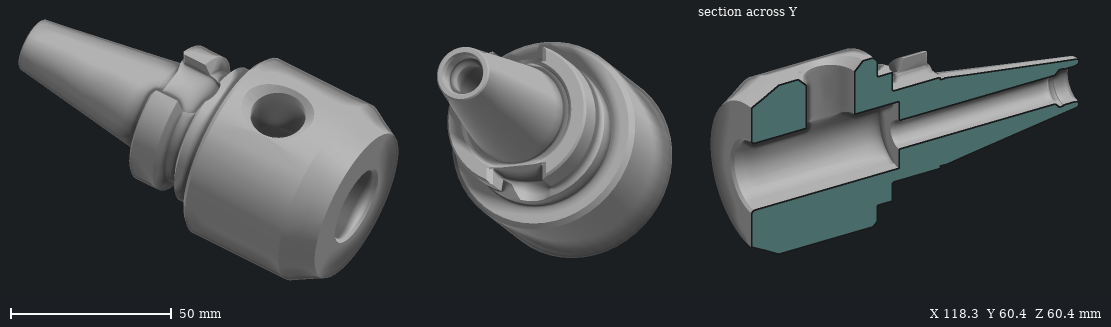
import cadquery as cq

length = 118.3
body_radius = 60.4 / 2
body_start = 72.7
body_chamfer = 1.5
collar_fillet = 0.5
nose_start = 108.3
nose_radius = 24.8

shank_radius = 17.4 / 2
shank_chamfer = 0.5
taper_end = 48.3
taper_slope = 7 / 24 / 2
taper_end_radius = shank_radius + taper_slope * (taper_end - shank_chamfer)
neck_radius = 31.0 / 2

flange_start = 49.1
flange_radius = 46.0 / 2
flange_chamfer = 0.7
recess_depth = 1.0
recess_floor_radius = 17.0
recess_mouth_radius = 18.2
groove_radius = 19.0
groove_left_rim = 58.1
groove_floor_start = 60.0
groove_floor_end = 63.7
groove_right_rim = 65.9

slot_half_width = 8.2
slot_end = 67.3
slot_floor = 16.3
slot_corner_fillet = 0.7
slot_mouth_depth = 1.3
slot_mouth_flare = 1.7

through_radius = 10.0 / 2
counterbore_radius = 12.5 / 2
counterbore_mouth_radius = 6.9
counterbore_mouth_depth = 1.3
counterbore_depth = 5.5
relief_radius = 13.1 / 2
relief_end = 7.1
tool_bore_radius = 23.7 / 2
tool_bore_mouth_radius = 25.4 / 2
tool_bore_start = 65.0

screw_x = 89.6
screw_radius = 17.3 / 2
countersink_radius = 11.7


def revolve_about_x(points):
    """Revolve an (x, radius) outline about the X axis."""
    return cq.Workplane("XY").polyline(points).close().revolve(360, (0, 0, 0), (1, 0, 0))


def is_collar_corner(edge):
    """Tell whether a circular edge is the inner corner of collar and body."""
    tolerance = 0.01
    same_place = abs(edge.Center().x - body_start) < tolerance
    return same_place and abs(edge.radius() - flange_radius) < tolerance


def make_blank():
    recess_floor = flange_start + recess_depth
    blank = revolve_about_x([
        (0, 0),
        (0, shank_radius - shank_chamfer),
        (shank_chamfer, shank_radius),
        (taper_end, taper_end_radius),
        (taper_end + taper_end_radius - neck_radius, neck_radius),
        (recess_floor, neck_radius),
        (recess_floor, recess_floor_radius),
        (flange_start, recess_mouth_radius),
        (flange_start, flange_radius - flange_chamfer),
        (flange_start + flange_chamfer, flange_radius),
        (groove_left_rim, flange_radius),
        (groove_floor_start, groove_radius),
        (groove_floor_end, groove_radius),
        (groove_right_rim, flange_radius),
        (body_start, flange_radius),
        (body_start, body_radius - body_chamfer),
        (body_start + body_chamfer, body_radius),
        (nose_start, body_radius),
        (length, nose_radius),
        (length, 0),
    ])
    collar_edge = blank.edges("%CIRCLE").filter(is_collar_corner)
    return collar_edge.fillet(collar_fillet)


def make_slot_cutter():
    """Upper drive slot: round inner end, rounded floor edge and flared mouth."""
    arc_center = slot_end - slot_half_width
    height = body_radius - slot_floor
    slot = (
        cq.Workplane("XY", origin=(0, 0, slot_floor))
        .moveTo(flange_start, -slot_half_width)
        .lineTo(arc_center, -slot_half_width)
        .threePointArc((slot_end, 0), (arc_center, slot_half_width))
        .lineTo(flange_start, slot_half_width)
        .close()
        .extrude(height)
        .faces("<Z").edges("not <X").fillet(slot_corner_fillet)
    )
    mouth_half_width = slot_half_width + slot_mouth_flare
    mouth = (
        cq.Workplane("XY", origin=(0, 0, slot_floor))
        .polyline([
            (flange_start, -mouth_half_width),
            (flange_start + slot_mouth_depth, -slot_half_width),
            (flange_start + slot_mouth_depth, slot_half_width),
            (flange_start, mouth_half_width),
        ])
        .close()
        .extrude(height)
    )
    return slot.union(mouth)


def make_axial_bore():
    tool_chamfer = tool_bore_mouth_radius - tool_bore_radius
    return revolve_about_x([
        (0, 0),
        (0, counterbore_mouth_radius),
        (counterbore_mouth_depth, counterbore_radius),
        (counterbore_depth, counterbore_radius),
        (counterbore_depth, relief_radius),
        (relief_end, relief_radius),
        (relief_end + relief_radius - through_radius, through_radius),
        (tool_bore_start, through_radius),
        (tool_bore_start, tool_bore_radius),
        (length - tool_chamfer, tool_bore_radius),
        (length, tool_bore_mouth_radius),
        (length, 0),
    ])


def make_screw_hole():
    """Radial hole from the top into the tool bore, with a 45 degree countersink."""
    countersink_depth = countersink_radius - screw_radius
    profile = [
        (0, 0),
        (screw_radius, 0),
        (screw_radius, body_radius - countersink_depth),
        (countersink_radius, body_radius),
        (0, body_radius),
    ]
    hole = cq.Workplane("XZ").polyline(profile).close().revolve(360, (0, 0, 0), (0, 1, 0))
    return hole.translate((screw_x, 0, 0))


result = make_blank()
upper_slot = make_slot_cutter()
for angle in (0, 180):
    result = result.cut(upper_slot.rotate((0, 0, 0), (1, 0, 0), angle))
result = result.cut(make_axial_bore())
result = result.cut(make_screw_hole())